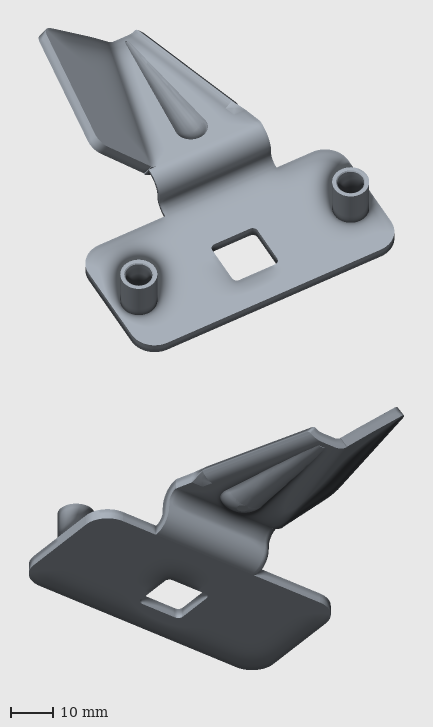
import cadquery as cq
import math

sheet = 2.6

plate_right = 81.7
plate_left = 48.35
plate_width = 69.8
plate_corner = 6.2
post_x = 67.4
post_y = 28.5
window_side = 12.2
window_corner = 1.3

post_diameter = 8.7
post_bore = 6.4
post_top = 12.65
bore_chamfer = 0.25

step_y_min = -10.9
step_y_max = 19.1
step_inner = 2.7
step_outer = step_inner + sheet
step_rise = 0.8
step_edge_round = 2.0
root_x = plate_left - step_inner - step_outer
root_top = 2 * step_outer + step_rise

tip_x = 0.65
tongue_drop = 3.3
tongue_run = root_x - tip_x
tongue_pitch = math.atan2(tongue_drop, tongue_run)

wing_fold_tip_y = 1.9
wing_fold_root_y = -8.5
wing_angle = 45.0
wing_bend_radius = 2.3
wing_tip_height = 23.7
wing_root_lean = 0.4
wing_tip_lean = 6.05
wing_bulge_y = -8.2
wing_root_height = 17.15
wing_corner = 3.3

lip_fold_tip_y = 5.55
lip_angle = 37.0
lip_bend_radius = 2.45
lip_width = 0.8
lip_corner = 0.7
lip_end_x = 32.7
flare_end_x = 35.4
lip_fold_end_y = 14.8
flare_edge_y = 17.9

dimple_y = 4.25
dimple_tip_x = 2.05
dimple_end_x = 33.6
dimple_tip_depth = 0.2
dimple_tip_radius = 0.6
dimple_end_radius = 4.2

tongue_plane = cq.Plane(
    origin=(root_x, 0, root_top),
    xDir=(math.cos(tongue_pitch), 0, math.sin(tongue_pitch)),
    normal=(-math.sin(tongue_pitch), 0, math.cos(tongue_pitch)),
)


def tongue_local(x, y):
    """Coordinates in the tongue plane of the surface point above (x, y)."""
    return ((x - root_x) / math.cos(tongue_pitch), y)


def tongue_point(x, y):
    """Point of the tongue's upper surface above (x, y)."""
    return tongue_plane.toWorldCoords(tongue_local(x, y))


def x_slice(x_min, x_max):
    """Large block between two X positions, used to trim ends."""
    size = 2 * plate_right
    middle = (x_min + x_max) / 2
    return cq.Workplane("XY").box(x_max - x_min, size, size).translate((middle, 0, 0))


def fold_frame(start, end, side):
    """Unit vectors along a fold line and away from the tongue across it."""
    along = (end - start).normalized()
    across = tongue_plane.zDir.cross(along) * side
    return along, across


def flap_plane(start, end, side, angle, radius):
    """Plane of a flap's upper face, with its origin where the bend ends, at the start of the fold."""
    along, across = fold_frame(start, end, side)
    up = tongue_plane.zDir
    turn = math.radians(angle)
    origin = start + across * (radius * math.sin(turn)) + up * (radius * (1 - math.cos(turn)))
    normal = up * math.cos(turn) - across * math.sin(turn)
    return cq.Plane(origin=origin, xDir=along, normal=normal)


def make_bend(start, end, side, angle, radius, start_overrun, end_overrun):
    """Cylindrical bend along a fold line, lengthened by the given overruns at its start and end."""
    along, across = fold_frame(start, end, side)
    length = (end - start).Length
    half = math.radians(angle) / 2
    full = 2 * half
    outer = radius + sheet
    section_normal = across.cross(tongue_plane.zDir)
    section = cq.Plane(origin=start - along * start_overrun, xDir=across, normal=section_normal)
    reach = length + start_overrun + end_overrun
    if section.zDir.dot(along) < 0:
        reach = -reach
    return (
        cq.Workplane(section)
        .moveTo(0, 0)
        .threePointArc(
            (radius * math.sin(half), radius * (1 - math.cos(half))),
            (radius * math.sin(full), radius * (1 - math.cos(full))),
        )
        .lineTo(outer * math.sin(full), radius - outer * math.cos(full))
        .threePointArc((outer * math.sin(half), radius - outer * math.cos(half)), (0, -sheet))
        .close()
        .extrude(reach)
    )


def make_plate():
    plate = (
        cq.Workplane("XY")
        .box(plate_right - plate_left, plate_width, sheet, centered=(False, True, False))
        .translate((plate_left, 0, 0))
        .edges("|Z")
        .fillet(plate_corner)
    )
    window = (
        cq.Workplane("XY")
        .center(post_x, 0)
        .rect(window_side, window_side)
        .extrude(sheet)
        .edges("|Z")
        .fillet(window_corner)
    )
    return plate.cut(window)


def make_step():
    diagonal = math.sqrt(0.5)
    low_z = step_outer
    high_z = step_outer + step_rise
    step = (
        cq.Workplane("XZ", origin=(0, step_y_max, 0))
        .moveTo(plate_left, 0)
        .threePointArc(
            (plate_left - step_outer * diagonal, low_z - step_outer * diagonal),
            (plate_left - step_outer, low_z),
        )
        .lineTo(root_x + step_inner, high_z)
        .threePointArc(
            (root_x + step_inner * diagonal, high_z + step_inner * diagonal),
            (root_x, high_z + step_inner),
        )
        .lineTo(root_x, root_top)
        .threePointArc(
            (root_x + step_outer * diagonal, high_z + step_outer * diagonal),
            (root_x + step_outer, high_z),
        )
        .lineTo(plate_left - step_inner, low_z)
        .threePointArc(
            (plate_left - step_inner * diagonal, low_z - step_inner * diagonal),
            (plate_left, sheet),
        )
        .close()
        .extrude(step_y_max - step_y_min)
    )
    margin = 0.2
    y_low, y_high = step_y_min - margin, step_y_min + margin
    upper_bend = cq.selectors.BoxSelector(
        (root_x + margin, y_low, step_outer / 2), (root_x + step_inner + margin, y_high, root_top)
    )
    lower_bend = cq.selectors.BoxSelector(
        (root_x, y_low, -margin), (plate_left - margin, y_high, step_outer / 2)
    )
    return step.edges(upper_bend + lower_bend).fillet(step_edge_round)


def make_tongue():
    start_x = tip_x - sheet
    wing_slope = (wing_fold_root_y - wing_fold_tip_y) / tongue_run
    lip_slope = (lip_fold_end_y - lip_fold_tip_y) / (flare_end_x - tip_x)
    outline = [
        tongue_local(start_x, wing_fold_tip_y - wing_slope * sheet),
        tongue_local(root_x, wing_fold_root_y),
        tongue_local(root_x, step_y_max),
        tongue_local(flare_end_x, flare_edge_y),
        tongue_local(flare_end_x, lip_fold_end_y),
        tongue_local(start_x, lip_fold_tip_y - lip_slope * sheet),
    ]
    tongue = cq.Workplane(tongue_plane).polyline(outline).close().extrude(-sheet)
    return tongue.intersect(x_slice(tip_x, plate_left))


def make_wing():
    start = tongue_point(tip_x, wing_fold_tip_y)
    end = tongue_point(root_x, wing_fold_root_y)
    length = (end - start).Length
    fold = (start, end, -1, wing_angle, wing_bend_radius)
    root_end = length + wing_root_lean
    outline = [(0, 0), (root_end, 0), (root_end, -wing_root_height), (wing_tip_lean, -wing_tip_height)]
    plane = flap_plane(*fold)
    blade = cq.Workplane(plane).polyline(outline).close().extrude(-sheet)
    through_edges = cq.selectors.ParallelDirSelector(plane.zDir)
    blade = blade.edges(through_edges).edges("<<Y[-1] or <<Y[-2]").fillet(wing_corner)
    bend = make_bend(*fold, sheet, sheet).intersect(x_slice(tip_x, root_x))
    sliver = (
        cq.Workplane("XY")
        .polyline([(tip_x, wing_fold_tip_y), (0, wing_bulge_y), (-sheet, wing_bulge_y), (-sheet, wing_fold_tip_y)])
        .close()
        .extrude(plate_right)
    )
    blade = blade.cut(sliver).intersect(x_slice(0, root_x))
    return blade, bend


def make_lip():
    start = tongue_point(tip_x, lip_fold_tip_y)
    end = tongue_point(flare_end_x, lip_fold_end_y)
    fraction = (lip_end_x - tip_x) / (flare_end_x - tip_x)
    lip_end = start + (end - start) * fraction
    fold = (start, lip_end, 1, lip_angle, lip_bend_radius)
    length = (lip_end - start).Length
    plane = flap_plane(*fold)
    blade = (
        cq.Workplane(plane)
        .center(-sheet, 0)
        .rect(length + sheet, lip_width, centered=False)
        .extrude(-sheet)
        .intersect(x_slice(tip_x, root_x))
        .faces("<X")
        .edges(cq.selectors.DirectionMinMaxSelector(plane.yDir, True))
        .fillet(lip_corner)
    )
    bend = make_bend(*fold, sheet, 0).intersect(x_slice(tip_x, root_x))

    drop = tongue_plane.zDir * -sheet
    edge = plane.toWorldCoords((length, lip_width, 0))
    edge_under = plane.toWorldCoords((length, lip_width, -sheet))
    flat_edge = tongue_point(flare_end_x, flare_edge_y)
    raised = cq.Wire.makePolygon([lip_end, edge, edge_under, lip_end + drop], close=True)
    flat = cq.Wire.makePolygon([end, flat_edge, flat_edge + drop, end + drop], close=True)
    flare = cq.Workplane(cq.Solid.makeLoft([raised, flat], True))
    return blade, bend, flare


def make_dimple_form(offset):
    """Round-ended cone whose lowest line is level; offset thickens it on all sides."""
    run = dimple_end_x - dimple_tip_x
    growth = dimple_end_radius - dimple_tip_radius
    floor = tongue_point(dimple_tip_x, dimple_y).z - dimple_tip_depth
    tip = cq.Vector(dimple_tip_x, dimple_y, floor + dimple_tip_radius)
    axis = cq.Vector(run, 0, growth)
    length = axis.Length
    tip_radius = dimple_tip_radius + offset
    end_radius = dimple_end_radius + offset
    cone = cq.Workplane(cq.Solid.makeCone(tip_radius, end_radius, length, tip, axis))
    ball = cq.Workplane("XY").sphere(end_radius).translate((tip + axis).toTuple())
    return cone.union(ball)


def make_bracket():
    bracket = make_plate().union(make_step()).union(make_tongue())
    for piece in (*make_wing(), *make_lip()):
        bracket = bracket.union(piece)
    below_tongue = make_tongue().translate((tongue_plane.zDir * -sheet).toTuple())
    bulge = make_dimple_form(sheet).intersect(below_tongue)
    return bracket.union(bulge).cut(make_dimple_form(0))


def make_post(y):
    return (
        cq.Workplane("XY", origin=(post_x, y, sheet))
        .circle(post_diameter / 2)
        .circle(post_bore / 2)
        .extrude(post_top - sheet)
        .faces(">Z")
        .edges(cq.selectors.RadiusNthSelector(0))
        .chamfer(bore_chamfer)
    )


bracket = make_bracket()
posts = [make_post(y) for y in (-post_y, post_y)]
result = cq.Compound.makeCompound([bracket.val(), *[post.val() for post in posts]])